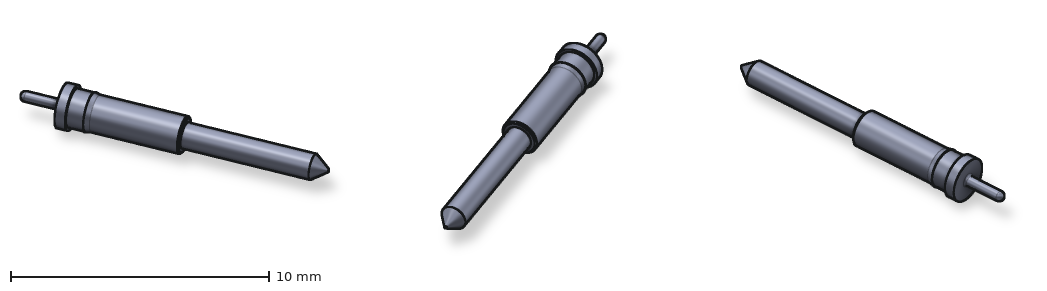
import cadquery as cq
import math

total_length = 12.7
flange_start = 1.73
flange_end = 2.16
barb_crest = 2.87
barb_end = 3.11
barrel_end = 6.78
point_start = 12.06

tail_radius = 0.22
flange_radius = 0.91
collar_radius = 0.79
barb_radius = 0.81
barrel_radius = 1.51 / 2
plunger_radius = 1.05 / 2
tip_radius = 0.06

root_fillet = 0.08
barrel_chamfer = 0.06

fillet_mid_x = flange_start - root_fillet * (1 - math.sin(math.pi / 4))
fillet_mid_radius = tail_radius + root_fillet * (1 - math.cos(math.pi / 4))

dome_mid_x = tail_radius * (1 - math.cos(math.pi / 4))
dome_mid_radius = tail_radius * math.sin(math.pi / 4)

profile = (
    cq.Workplane("XZ")
    .moveTo(0, 0)
    .threePointArc((dome_mid_x, dome_mid_radius), (tail_radius, tail_radius))
    .lineTo(flange_start - root_fillet, tail_radius)
    .threePointArc(
        (fillet_mid_x, fillet_mid_radius),
        (flange_start, tail_radius + root_fillet),
    )
    .lineTo(flange_start, flange_radius)
    .lineTo(flange_end, flange_radius)
    .lineTo(flange_end, collar_radius)
    .lineTo(barb_crest, collar_radius)
    .lineTo(barb_crest, barb_radius)
    .lineTo(barb_end, barrel_radius)
    .lineTo(barrel_end - barrel_chamfer, barrel_radius)
    .lineTo(barrel_end, barrel_radius - barrel_chamfer)
    .lineTo(barrel_end, plunger_radius)
    .lineTo(point_start, plunger_radius)
    .lineTo(total_length, tip_radius)
    .lineTo(total_length, 0)
    .close()
)

result = profile.revolve(360, (0, 0, 0), (1, 0, 0))